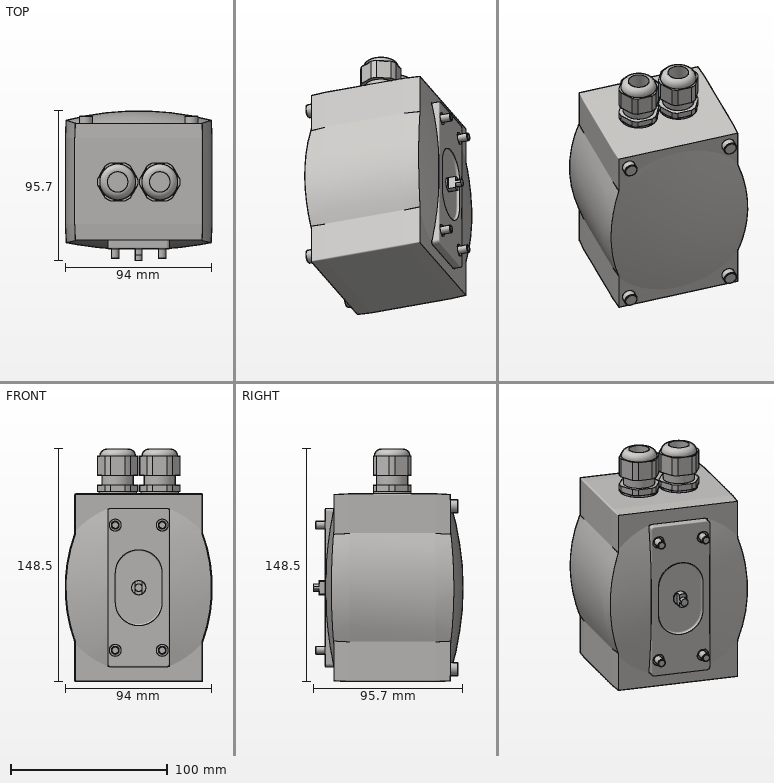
import cadquery as cq
import math


BLOCK_WIDTH = 81.7
BLOCK_HEIGHT = 120.0
BLOCK_DEPTH = 74.4
BELLY_WIDTH = 94.0
BELLY_HEIGHT = 69.2
EDGE_RADIUS = 0.9
FRONT_COVER = 10.1
BACK_COVER = 9.4
COVER_DRAFT = 3.0
DOME_RADIUS = 53.9
FRONT_DOME_HEIGHT = 6.1
BACK_DOME_HEIGHT = 8.2
DOME_ROOT = 1.5

HALF_DEPTH = BLOCK_DEPTH / 2
TOP = BLOCK_HEIGHT / 2

PLATE_WIDTH = 39.5
PLATE_HEIGHT = 101.3
PLATE_THICKNESS = 5.5
PLATE_CORNER = 2.1
PLATE_RIM = 0.7
POCKET_WIDTH = 30.0
POCKET_HEIGHT = 48.4
POCKET_DEPTH = 1.8
POCKET_FLOOR_RADIUS = 1.0
PLATE_FACE = HALF_DEPTH + PLATE_THICKNESS

STUD_DIAMETER = 5.0
STUD_LENGTH = 6.2
STUD_PITCH_X = 30.0
STUD_PITCH_Z = 79.9
STUD_CHAMFER = 0.5
STUD_RECESS_DIAMETER = 7.5
STUD_RECESS_DEPTH = 1.5
SHAFT_DIAMETER = 9.0
SHAFT_COLLAR = 1.0
SHAFT_ACROSS_FLATS = 4.5
SHAFT_LENGTH = 3.9
TIP_DIAMETER = 4.8
TIP_LENGTH = 3.7
SCREW_DIAMETER = 8.5
SCREW_HEIGHT = 4.9
SCREW_PITCH_X = 67.4
SCREW_PITCH_Z = 104.0
SCREW_CHAMFER = 0.5

GLAND_PITCH = 26.9
GLAND_BORE = 13.0
FLANGE_DIAMETER = 24.0
FLANGE_HEIGHT = 1.3
HEX_FLATS = 24.0
HEX_CORNER_DIAMETER = 25.8
HEX_BASE_HEIGHT = 4.2
NECK_DIAMETER = 20.0
NECK_HEIGHT = 6.2
HEX_NUT_HEIGHT = 12.2
CAP_DIAMETER = 22.9
CAP_RADIUS = 4.6


def facing_front(distance):
    """Workplane at y = -distance, looking out along -Y, with local x and y along X and Z."""
    return cq.Workplane("XZ", origin=(0, -distance, 0))


def rounded_block(joint, length, draft=0):
    """Block with rounded long edges, growing along -Y."""
    outline = cq.Sketch().rect(BLOCK_WIDTH, BLOCK_HEIGHT).vertices().fillet(EDGE_RADIUS)
    return facing_front(joint).placeSketch(outline).extrude(length, taper=draft)


def belly(joint, length, draft=0):
    """Band that swells out of both upright sides of the block in circular arcs."""
    x = BLOCK_WIDTH / 2
    z = BELLY_HEIGHT / 2
    swell = BELLY_WIDTH / 2
    outline = facing_front(joint).moveTo(-x, -z).lineTo(x, -z).threePointArc((swell, 0), (x, z))
    outline = outline.lineTo(-x, z).threePointArc((-swell, 0), (-x, -z)).close()
    return outline.extrude(length, taper=draft)


def dome(height):
    """Spherical cap rising from the front face of the block, rooted a little way behind it."""
    sphere_radius = (DOME_RADIUS**2 + height**2) / (2 * height)
    sphere = cq.Workplane("XY").sphere(sphere_radius)
    sphere = sphere.translate((0, sphere_radius - HALF_DEPTH - height, 0))
    root = facing_front(HALF_DEPTH - DOME_ROOT).circle(2 * DOME_RADIUS).extrude(DOME_ROOT + 2 * height)
    return root.intersect(sphere)


def cover(thickness, dome_height):
    """Drafted cover with a domed face, on the -Y side of the block."""
    joint = HALF_DEPTH - thickness
    slab = rounded_block(joint, thickness, COVER_DRAFT).union(belly(joint, thickness, COVER_DRAFT))
    full_length = thickness + dome_height
    dome_outline = facing_front(joint).rect(BLOCK_WIDTH, BLOCK_HEIGHT).extrude(full_length, taper=COVER_DRAFT)
    dome_outline = dome_outline.union(belly(joint, full_length, COVER_DRAFT))
    return slab.union(dome_outline.intersect(dome(dome_height)))


def front_cover():
    """Domed cover with the dome removed where the mounting plate sits."""
    plate_gap = facing_front(HALF_DEPTH).rect(PLATE_WIDTH, BLOCK_HEIGHT).extrude(FRONT_DOME_HEIGHT)
    return cover(FRONT_COVER, FRONT_DOME_HEIGHT).cut(plate_gap)


def housing_shell():
    """Straight middle section closed by the two covers."""
    middle_depth = BLOCK_DEPTH - FRONT_COVER - BACK_COVER
    joint = HALF_DEPTH - FRONT_COVER
    middle = rounded_block(joint, -middle_depth).union(belly(joint, -middle_depth))
    back = cover(BACK_COVER, BACK_DOME_HEIGHT).mirror("XZ")
    return middle.union(front_cover()).union(back)


def plate():
    """Mounting plate with rounded corners and a rounded rim."""
    blank = facing_front(0).rect(PLATE_WIDTH, PLATE_HEIGHT).extrude(PLATE_FACE)
    return blank.edges("|Y").fillet(PLATE_CORNER).faces("<Y").edges().fillet(PLATE_RIM)


def plate_pocket():
    """Shallow slot with a rounded floor edge."""
    slot = facing_front(PLATE_FACE).slot2D(POCKET_HEIGHT, POCKET_WIDTH, 90).extrude(-POCKET_DEPTH)
    return slot.faces(">Y").edges().fillet(POCKET_FLOOR_RADIUS)


def cylinders(distance, pitch_x, pitch_z, diameter, length):
    """Two by two cylinders starting at y = -distance; a positive length grows along -Y."""
    centers = facing_front(distance).rarray(pitch_x, pitch_z, 2, 2)
    return centers.circle(diameter / 2).extrude(length)


def studs():
    """Studs standing on the floors of their recesses in the plate."""
    floor = PLATE_FACE - STUD_RECESS_DEPTH
    length = STUD_RECESS_DEPTH + STUD_LENGTH
    rods = cylinders(floor, STUD_PITCH_X, STUD_PITCH_Z, STUD_DIAMETER, length)
    return rods.faces("<Y").chamfer(STUD_CHAMFER)


def stud_recesses():
    return cylinders(PLATE_FACE, STUD_PITCH_X, STUD_PITCH_Z, STUD_RECESS_DIAMETER, -STUD_RECESS_DEPTH)


def screw_heads():
    """Screw heads on the back face of the block."""
    heads = cylinders(-HALF_DEPTH, SCREW_PITCH_X, SCREW_PITCH_Z, SCREW_DIAMETER, -SCREW_HEIGHT)
    return heads.faces(">Y").chamfer(SCREW_CHAMFER)


def shaft():
    """Round collar on the pocket floor, then a thicker and a thinner length sharing two flats."""
    floor = PLATE_FACE - POCKET_DEPTH
    blade_length = POCKET_DEPTH + SHAFT_LENGTH
    full_length = blade_length + TIP_LENGTH
    collar = facing_front(floor).circle(SHAFT_DIAMETER / 2).extrude(SHAFT_COLLAR)
    blade = facing_front(floor).circle(SHAFT_DIAMETER / 2).extrude(blade_length)
    tip = facing_front(floor).circle(TIP_DIAMETER / 2).extrude(full_length)
    flats = facing_front(floor).rect(SHAFT_ACROSS_FLATS, 2 * SHAFT_DIAMETER).extrude(full_length)
    return blade.union(tip).intersect(flats).union(collar)


def build_housing():
    body = housing_shell().union(plate())
    body = body.cut(plate_pocket()).cut(stud_recesses())
    return body.union(studs()).union(screw_heads()).union(shaft())


def hexagon(bottom, height):
    """Hexagon with two flats facing +-Y and its corners turned down to a cylinder."""
    plane = cq.Workplane("XY", origin=(0, 0, bottom))
    blank = plane.polygon(6, HEX_FLATS / math.cos(math.pi / 6)).extrude(height)
    return blank.intersect(plane.circle(HEX_CORNER_DIAMETER / 2).extrude(height))


def disc(bottom, height, diameter):
    return cq.Workplane("XY", origin=(0, 0, bottom)).circle(diameter / 2).extrude(height)


def cap(bottom):
    """Ring whose outer side rounds over to a narrow flat rim at the bore."""
    inner = GLAND_BORE / 2
    outer = CAP_DIAMETER / 2
    profile = cq.Workplane("XZ", origin=(0, 0, bottom)).moveTo(inner, 0).lineTo(outer, 0)
    profile = profile.radiusArc((outer - CAP_RADIUS, CAP_RADIUS), -CAP_RADIUS).lineTo(inner, CAP_RADIUS)
    return profile.close().revolve(360, (0, 0), (0, 1))


def build_gland(x):
    """Cable gland standing on top of the housing, bored through."""
    hex_bottom = TOP + FLANGE_HEIGHT
    neck_bottom = hex_bottom + HEX_BASE_HEIGHT
    nut_bottom = neck_bottom + NECK_HEIGHT
    cap_bottom = nut_bottom + HEX_NUT_HEIGHT
    gland = disc(TOP, FLANGE_HEIGHT, FLANGE_DIAMETER)
    gland = gland.union(hexagon(hex_bottom, HEX_BASE_HEIGHT))
    gland = gland.union(disc(neck_bottom, NECK_HEIGHT, NECK_DIAMETER))
    gland = gland.union(hexagon(nut_bottom, HEX_NUT_HEIGHT))
    gland = gland.cut(disc(TOP, cap_bottom - TOP, GLAND_BORE)).union(cap(cap_bottom))
    return gland.translate((x, 0, 0))


housing = build_housing()
glands = [build_gland(x) for x in (-GLAND_PITCH / 2, GLAND_PITCH / 2)]

result = cq.Compound.makeCompound([housing.val(), *[gland.val() for gland in glands]])